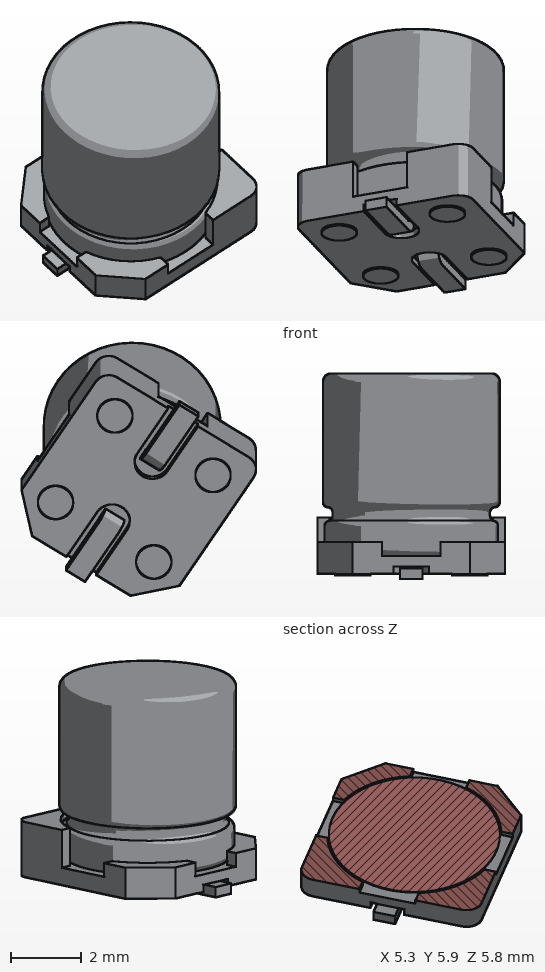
import cadquery as cq

overall_height = 5.8
base_bottom = 0.14
slot_top = 0.35
can_bottom = 0.65
front_wall_top = 1.045
lower_body_top = 1.485
neck_bottom = 1.79
neck_top = 1.88
upper_body_bottom = 2.18
rear_wall_top = 1.74

base_width = 5.3
half_base = base_width / 2
front_chamfer = 1.0
rear_corner_radius = 0.45
window_width = 1.64
foot_diameter = 1.0
foot_height = 0.05
foot_x = 1.645
front_foot_y = -1.435
rear_foot_y = 1.65
lead_slot_width = 1.0

upper_radius = 5.0 / 2
lower_radius = 4.9 / 2
neck_radius = 4.45 / 2
top_fillet = 0.25
bottom_fillet = 0.23
bulge_radius = 0.16

lead_span = 5.9
lead_width = 0.64
lead_thickness = 0.3
lead_bend_radius = 0.36
leg_inner_y = 0.895
leg_middle_y = leg_inner_y + lead_thickness / 2


def flank_radius(depth, height):
    """Radius of a concave arc that runs smoothly into the neck over the given depth and height."""
    return (depth**2 + height**2) / (2 * depth)


def make_can_shell():
    """Revolved can with a rolled groove above its lower body."""
    upper_bulge_inner = upper_radius - bulge_radius
    lower_bulge_inner = lower_radius - bulge_radius
    upper_bulge_edge = upper_body_bottom - bulge_radius
    lower_bulge_edge = lower_body_top + bulge_radius
    upper_flank = flank_radius(upper_bulge_inner - neck_radius, upper_bulge_edge - neck_top)
    lower_flank = flank_radius(lower_bulge_inner - neck_radius, neck_bottom - lower_bulge_edge)
    profile = (
        cq.Workplane("XZ")
        .moveTo(0, can_bottom)
        .lineTo(lower_radius - bottom_fillet, can_bottom)
        .radiusArc((lower_radius, can_bottom + bottom_fillet), -bottom_fillet)
        .lineTo(lower_radius, lower_body_top)
        .radiusArc((lower_bulge_inner, lower_bulge_edge), -bulge_radius)
        .radiusArc((neck_radius, neck_bottom), lower_flank)
        .lineTo(neck_radius, neck_top)
        .radiusArc((upper_bulge_inner, upper_bulge_edge), upper_flank)
        .radiusArc((upper_radius, upper_body_bottom), -bulge_radius)
        .lineTo(upper_radius, overall_height - top_fillet)
        .radiusArc((upper_radius - top_fillet, overall_height), -top_fillet)
        .lineTo(0, overall_height)
        .close()
    )
    return profile.revolve(360, (0, 0, 0), (0, 1, 0))


def make_lead(side):
    """L-shaped lead on the +Y (side = 1) or -Y (side = -1) half, reaching up to the can."""
    inner_bend_radius = lead_bend_radius - lead_thickness
    leg_outer_y = leg_inner_y + lead_thickness
    bend_y = leg_inner_y + lead_bend_radius
    outline = (
        cq.Workplane("YZ", origin=(-lead_width / 2, 0, 0))
        .moveTo(side * lead_span / 2, 0)
        .lineTo(side * bend_y, 0)
        .radiusArc((side * leg_inner_y, lead_bend_radius), side * lead_bend_radius)
        .lineTo(side * leg_inner_y, can_bottom)
        .lineTo(side * leg_outer_y, can_bottom)
        .lineTo(side * leg_outer_y, lead_bend_radius)
        .radiusArc((side * bend_y, lead_thickness), -side * inner_bend_radius)
        .lineTo(side * lead_span / 2, lead_thickness)
        .close()
    )
    return outline.extrude(lead_width)


def make_base_block():
    """Plate with chamfered front corners, rounded rear corners and a taller rear half."""
    rear_height = rear_wall_top - base_bottom
    block = (
        cq.Workplane("XY", origin=(0, 0, base_bottom))
        .rect(base_width, base_width)
        .extrude(rear_height)
    )
    block = block.edges("|Z and <Y").chamfer(front_chamfer)
    block = block.edges("|Z and >Y").fillet(rear_corner_radius)
    front_step = (
        cq.Workplane("XY", origin=(0, -half_base / 2, front_wall_top))
        .rect(base_width, half_base)
        .extrude(rear_height)
    )
    return block.cut(front_step)


def cut_can_seat(base):
    """Round seat for the can, and a window through the middle of every wall."""
    seat_plane = cq.Workplane("XY", origin=(0, 0, can_bottom))
    seat = seat_plane.circle(lower_radius).extrude(overall_height)
    window_x = seat_plane.rect(base_width, window_width).extrude(overall_height)
    window_y = seat_plane.rect(window_width, base_width).extrude(overall_height)
    return base.cut(seat).cut(window_x).cut(window_y)


def make_lead_slot(side):
    """Open-ended clearance slot under the base, with a round end about the lead's leg."""
    slot_plane = cq.Workplane("XY")
    slot_length = half_base - leg_middle_y
    channel = (
        slot_plane.center(0, side * (leg_middle_y + slot_length / 2))
        .rect(lead_slot_width, slot_length)
        .extrude(slot_top)
    )
    round_end = slot_plane.center(0, side * leg_middle_y).circle(lead_slot_width / 2).extrude(slot_top)
    return channel.union(round_end)


def make_feet():
    """Four thin round stand-off pads under the base."""
    return (
        cq.Workplane("XY", origin=(0, 0, base_bottom - foot_height))
        .pushPoints([(x, y) for x in (-foot_x, foot_x) for y in (front_foot_y, rear_foot_y)])
        .circle(foot_diameter / 2)
        .extrude(foot_height)
    )


can = make_can_shell()
base = cut_can_seat(make_base_block()).union(make_feet())
for side in (-1, 1):
    lead = make_lead(side)
    can = can.union(lead)
    base = base.cut(make_lead_slot(side)).cut(lead)

result = cq.Compound.makeCompound([can.val(), base.val()])